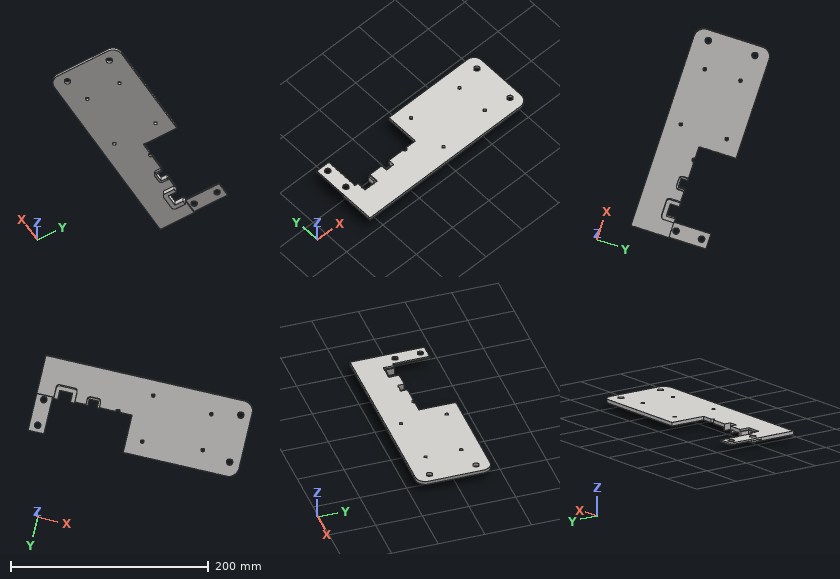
import cadquery as cq

length = 217.5
width = 80.0
plate_thickness = 4.0
corner_radius = 10.5

arm_width = 16.7
arm_thickness = plate_thickness / 2
cutout_right = 99.2
cutout_floor = 40.5

large_center = 28.5
recess_width = 16.5
recess_floor = 29.4
recess_depth = plate_thickness / 2
large_opening_width = 13.0
large_opening_floor = 30.9
large_frame_width = 21.7
large_frame_front = 26.0
total_height = 10.0

small_center = 58.0
small_opening_width = 9.8
small_opening_floor = 33.3
small_frame_width = 14.0
small_frame_front = 31.0
small_frame_drop = 3.3
frame_radius = 3.3

round_notch_x = 84.4
round_notch_radius = 2.2
round_notch_y = 40.0

large_hole_diameter = 6.3
large_holes = [(8.5, 72.6), (8.5, 45.5), (206.6, 65.0), (206.6, 15.2)]
small_hole_diameter = 3.3
small_holes = [(115.5, 64.5), (115.5, 15.7), (177.3, 59.2), (177.3, 21.0)]


def block(left, right, front, back, bottom, top):
    """Box given by the positions of its six faces."""
    return cq.Workplane("XY").box(
        right - left, back - front, top - bottom, centered=False
    ).translate((left, front, bottom))


def centered_block(center, block_width, front, bottom, top):
    """Box centered on an X position, reaching back to the cutout floor."""
    half = block_width / 2
    return block(center - half, center + half, front, cutout_floor, bottom, top)


def frame(center, frame_width, front, bottom):
    """Block below the plate with rounded front corners."""
    body = centered_block(center, frame_width, front, bottom, -arm_thickness)
    return body.edges("|Z and <Y").fillet(frame_radius)


def through_holes(points, diameter):
    """Cylinders that pass through the plate."""
    return cq.Workplane("XY").pushPoints(points).circle(diameter / 2).extrude(-total_height)


plate = block(0, length, 0, width, -plate_thickness, 0)
plate = plate.edges("|Z and >X").fillet(corner_radius)
plate = plate.cut(block(arm_width, cutout_right, cutout_floor, width, -plate_thickness, 0))
plate = plate.cut(block(0, arm_width, cutout_floor, width, -plate_thickness, -arm_thickness))

plate = plate.union(frame(large_center, large_frame_width, large_frame_front, -total_height))
small_frame_bottom = -plate_thickness - small_frame_drop
plate = plate.union(frame(small_center, small_frame_width, small_frame_front, small_frame_bottom))

plate = plate.cut(
    centered_block(large_center, large_opening_width, large_opening_floor, -total_height, 0)
)
plate = plate.cut(centered_block(large_center, recess_width, recess_floor, -recess_depth, 0))
plate = plate.cut(
    centered_block(small_center, small_opening_width, small_opening_floor, -total_height, 0)
)

plate = plate.cut(through_holes([(round_notch_x, round_notch_y)], 2 * round_notch_radius))
plate = plate.cut(through_holes(large_holes, large_hole_diameter))
result = plate.cut(through_holes(small_holes, small_hole_diameter))